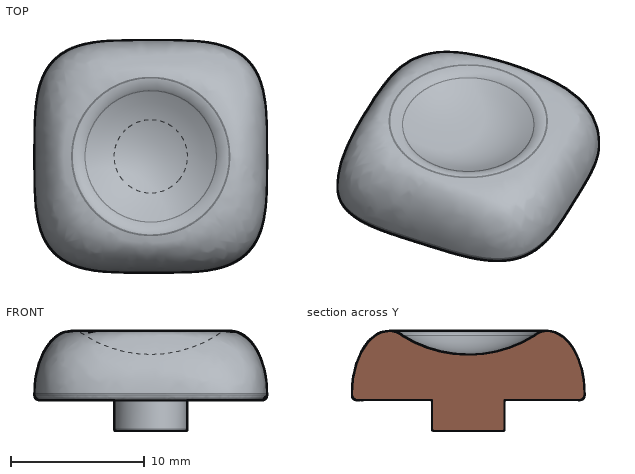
import cadquery as cq
import math

width = 17.48
total_height = 7.53
half_width = width / 2

stem_diameter = 5.5
stem_height = 2.3
stem_edge_radius = 0.15

plan_exponent = 3.7
skirt_height = 0.52
skirt_edge_radius = 0.42
crest_radius = 5.95
dome_sections = 8
points_per_outline = 48

crest_flat = 0.05
dish_radius = 4.93
lip_drop = 0.37
dish_depth = 1.78

skirt_top = stem_height + skirt_height
dome_height = total_height - skirt_top


def plan_radius(angle):
    """Distance from the axis to the rounded-square plan outline."""
    cos_term = abs(math.cos(angle)) ** plan_exponent
    sin_term = abs(math.sin(angle)) ** plan_exponent
    return half_width / (cos_term + sin_term) ** (1 / plan_exponent)


def outline(z, spread):
    """Closed outline between the crest circle (spread 0) and the full plan (spread 1)."""
    points = []
    for i in range(points_per_outline):
        angle = 2 * math.pi * i / points_per_outline
        radius = crest_radius + spread * (plan_radius(angle) - crest_radius)
        points.append(cq.Vector(radius * math.cos(angle), radius * math.sin(angle), z))
    return cq.Wire.assembleEdges([cq.Edge.makeSpline(points, periodic=True)])


def make_skirt():
    face = cq.Face.makeFromWires(outline(stem_height, 1.0))
    skirt = cq.Workplane(obj=cq.Solid.extrudeLinear(face, cq.Vector(0, 0, skirt_height)))
    return skirt.faces("<Z").edges().fillet(skirt_edge_radius)


def make_dome():
    """Shoulder that follows a quarter ellipse from the skirt up to the crest."""
    sections = []
    for i in range(dome_sections + 1):
        rise = math.pi / 2 * i / dome_sections
        sections.append(outline(skirt_top + dome_height * math.sin(rise), math.cos(rise)))
    return cq.Workplane(obj=cq.Solid.makeLoft(sections))


def level_arc_middle(run, drop):
    """Offsets from the level end of an arc to its middle, for an arc spanning run by drop."""
    radius = (run**2 + drop**2) / (2 * drop)
    half_angle = math.atan2(drop, run)
    return radius * math.sin(half_angle), radius * (1 - math.cos(half_angle))


def make_dish():
    """Spherical bowl meeting a lip arc that is level beside the crest flat."""
    lip_outer_radius = crest_radius - crest_flat
    dish_floor = total_height - dish_depth
    lip_edge = total_height - lip_drop
    bowl_x, bowl_rise = level_arc_middle(dish_radius, lip_edge - dish_floor)
    lip_x, lip_fall = level_arc_middle(lip_outer_radius - dish_radius, lip_drop)
    lip_middle = (lip_outer_radius - lip_x, total_height - lip_fall)
    return (
        cq.Workplane("XZ")
        .moveTo(0, dish_floor)
        .threePointArc((bowl_x, dish_floor + bowl_rise), (dish_radius, lip_edge))
        .threePointArc(lip_middle, (lip_outer_radius, total_height))
        .lineTo(0, total_height)
        .close()
        .revolve(360, (0, 0), (0, 1))
    )


def make_stem():
    stem = cq.Workplane("XY").circle(stem_diameter / 2).extrude(stem_height)
    return stem.faces("<Z").edges().fillet(stem_edge_radius)


result = make_skirt().union(make_dome()).cut(make_dish()).union(make_stem())